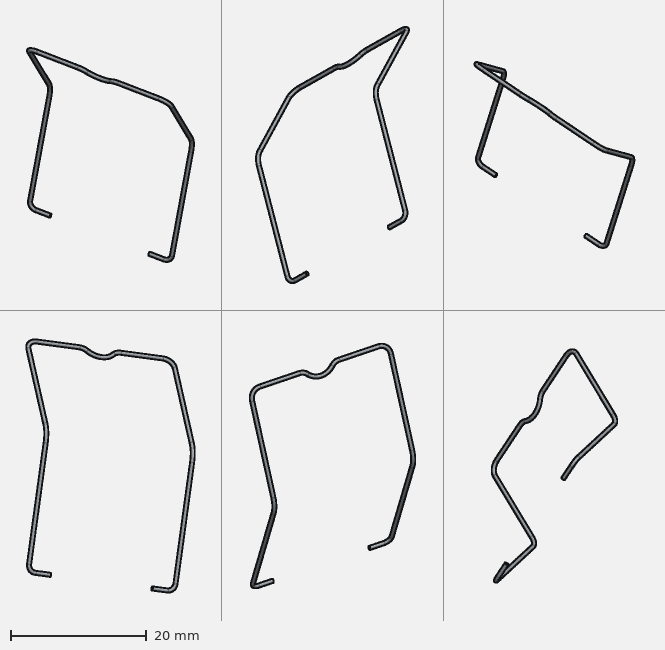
import cadquery as cq
import math

WIRE_DIAMETER = 0.65
OUTER_WIDTH = 24.15

UPPER_TILT = 25.0
LOWER_TILT = 20.0
UPPER_LENGTH = 18.22
LOWER_LENGTH = 20.83
KNEE_RADIUS = 3.825

TOP_CORNER_RADIUS = 1.675
FOOT_CORNER_RADIUS = 1.15

FOOT_STRAIGHT = 2.425

DIP_HALF_WIDTH = 3.33
DIP_DEPTH = 1.43
DIP_SHOULDER_RADIUS = 1.7

LEG_X = (OUTER_WIDTH - WIRE_DIAMETER) / 2
KNEE_SETBACK = KNEE_RADIUS * math.tan(math.radians(UPPER_TILT + LOWER_TILT) / 2)
DIP_ANGLE = 2 * math.atan(DIP_DEPTH / DIP_HALF_WIDTH)
DIP_RADIUS = DIP_HALF_WIDTH / math.sin(DIP_ANGLE) - DIP_SHOULDER_RADIUS


def upper_point(x, distance):
    """Point in the tilted upper plane, at a distance from the knee corner line."""
    tilt = math.radians(UPPER_TILT)
    return cq.Vector(x, -distance * math.sin(tilt), distance * math.cos(tilt))


def lower_point(x, distance):
    """Point in the tilted lower plane, at a distance from the knee corner line."""
    tilt = math.radians(LOWER_TILT)
    return cq.Vector(x, -distance * math.sin(tilt), -distance * math.cos(tilt))


def bend(start, corner, end):
    """Arc tangent to the two equal legs start-corner and corner-end."""
    return cq.Edge.makeTangentArc(start, corner - start, end)


def side_edges():
    """Centreline of the +X side, from the dip's inflection to the tip of the foot."""
    inflection = upper_point(
        DIP_RADIUS * math.sin(DIP_ANGLE),
        UPPER_LENGTH - DIP_SHOULDER_RADIUS * (1 - math.cos(DIP_ANGLE)),
    )
    shoulder_corner_x = DIP_HALF_WIDTH - DIP_SHOULDER_RADIUS * math.tan(DIP_ANGLE / 2)
    shoulder_corner = upper_point(shoulder_corner_x, UPPER_LENGTH)
    shoulder_end = upper_point(DIP_HALF_WIDTH, UPPER_LENGTH)

    top_bar_end = upper_point(LEG_X - TOP_CORNER_RADIUS, UPPER_LENGTH)
    top_corner = upper_point(LEG_X, UPPER_LENGTH)
    upper_leg_start = upper_point(LEG_X, UPPER_LENGTH - TOP_CORNER_RADIUS)

    knee_start = upper_point(LEG_X, KNEE_SETBACK)
    knee_corner = upper_point(LEG_X, 0)
    knee_end = lower_point(LEG_X, KNEE_SETBACK)

    lower_leg_end = lower_point(LEG_X, LOWER_LENGTH - FOOT_CORNER_RADIUS)
    foot_corner = lower_point(LEG_X, LOWER_LENGTH)
    foot_start = lower_point(LEG_X - FOOT_CORNER_RADIUS, LOWER_LENGTH)
    foot_tip = lower_point(LEG_X - FOOT_CORNER_RADIUS - FOOT_STRAIGHT, LOWER_LENGTH)

    return [
        bend(inflection, shoulder_corner, shoulder_end),
        cq.Edge.makeLine(shoulder_end, top_bar_end),
        bend(top_bar_end, top_corner, upper_leg_start),
        cq.Edge.makeLine(upper_leg_start, knee_start),
        bend(knee_start, knee_corner, knee_end),
        cq.Edge.makeLine(knee_end, lower_leg_end),
        bend(lower_leg_end, foot_corner, foot_start),
        cq.Edge.makeLine(foot_start, foot_tip),
    ]


def dip_edge(right_end):
    """Arc across the middle of the top bar, symmetric about X = 0."""
    left_end = cq.Vector(-right_end.x, right_end.y, right_end.z)
    bottom = upper_point(0, UPPER_LENGTH - DIP_DEPTH)
    return cq.Edge.makeThreePointArc(left_end, bottom, right_end)


def wire_clip():
    """Round wire swept along the whole centreline, from foot tip to foot tip."""
    right_side = side_edges()
    left_side = [edge.mirror("YZ") for edge in right_side]
    dip = dip_edge(right_side[0].startPoint())
    path = cq.Wire.assembleEdges(left_side[::-1] + [dip] + right_side)

    left_tip = left_side[-1].endPoint()
    section_plane = cq.Plane(origin=left_tip, xDir=(0, 1, 0), normal=(-1, 0, 0))
    section = cq.Workplane(section_plane).circle(WIRE_DIAMETER / 2)
    return section.sweep(cq.Workplane(path))


result = wire_clip()